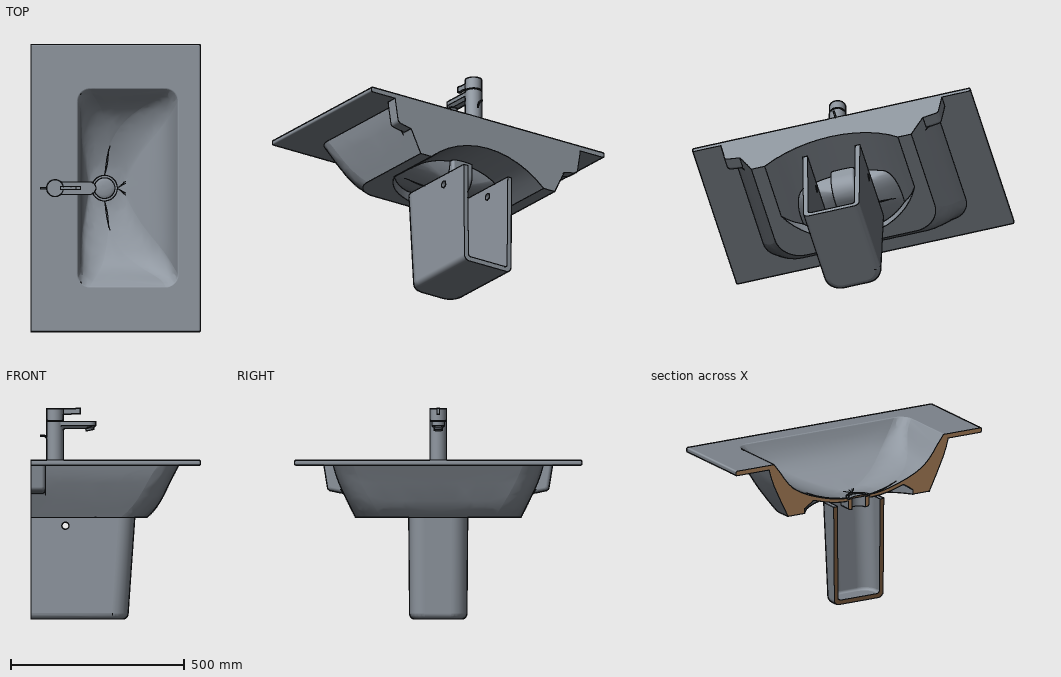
import cadquery as cq
import math


ARC_MIDDLE = 1 - math.sqrt(0.5)
SELECT_MARGIN = 1.0

DECK_DEPTH = 490.0
DECK_WIDTH = 830.0
DECK_THICKNESS = 15.0
DECK_CORNER_RADIUS = 5.0
DECK_EDGE_RADIUS = 5.0

BASE_Z = -165.0
BACK_PLATE_THICKNESS = 41.5
BACK_PLATE_ROUND = 12.5
BACK_PLATE_FRONT_ROUND = 10.0
WING_TOP_HALF = 330.5
WING_TIP_HALF = 319.0
WING_TIP_Z = -87.0
WING_ROOT_HALF = 274.0
WING_ROOT_Z = -96.0
WING_FOOT_HALF = 261.0
WING_FOOT_Z = -116.0
BASE_HALF = 239.0
BODY_LEVELS = [
    (-DECK_THICKNESS, 427.0, 303.0, 58.0),
    (-51.5, 407.0, 292.0, 62.0),
    (-98.0, 385.0, 272.0, 66.5),
    (BASE_Z, 335.5, BASE_HALF, 75.0),
]

DRAIN_X = 212.5
DRAIN_SEAT_DIAMETER = 74.0
DRAIN_HOLE_DIAMETER = 44.0
BOWL_FLOOR_Z = -141.0
SEAT_RADIUS = DRAIN_SEAT_DIAMETER / 2
FLOOR_CORNER_RADIUS = 0.98 * SEAT_RADIUS
BOWL_LEVELS = [
    (0.0, 135.0, 425.0, 286.5, 36.5),
    (-22.0, 143.0, 415.0, 269.0, 36.5),
    (-76.0, 146.0, 372.0, 227.0, 58.0),
    (-113.0, 153.0, 315.5, 163.5, 66.5),
    (-129.0, 160.0, 290.0, 116.0, 63.0),
    (BOWL_FLOOR_Z, DRAIN_X - SEAT_RADIUS, DRAIN_X + SEAT_RADIUS, SEAT_RADIUS, FLOOR_CORNER_RADIUS),
]
BOWL_RIM_RADIUS = 4.0
BOWL_WALL = 10.0

ARCH_HALF = 199.0
ARCH_TOP_Z = -90.0
HOLLOW_FRONT_X = 311.0
BOSS_WIDTH = 70.5
BOSS_BOTTOM_Z = -178.0
BOSS_BACK_X = 120.0
BOSS_FRONT_X = 253.0
BOSS_SWEEP = 52.0
BOSS_EDGE_RADIUS = 7.5

PLUG_DIAMETER = 60.0
PLUG_RIM = 2.5
PLUG_DOME = 4.0
PLUG_EDGE_SLOPE = 0.6
SEAT_DEPTH = 4.0

PEDESTAL_TOP_Z = -161.0
PEDESTAL_BOTTOM_Z = -459.0
PEDESTAL_WALL = 14.0
PEDESTAL_TOP_FRONT_X = 300.5
PEDESTAL_TOP_HALF = 85.5
PEDESTAL_BOTTOM_FRONT_X = 280.0
PEDESTAL_BOTTOM_HALF = 83.0
PEDESTAL_CORNER_RADIUS = 46.0
PEDESTAL_INNER_CORNER_RADIUS = 41.5
PEDESTAL_FOOT_RADIUS = 17.0
FIXING_HOLE_DIAMETER = 20.0
FIXING_HOLE_X = 100.0
FIXING_HOLE_Z = -189.0

TAP_X = 70.0
TAP_DIAMETER = 49.0
TAP_TOP_Z = 112.0
NECK_DIAMETER = 42.0
NECK_HEIGHT = 2.5
CAP_DIAMETER = 48.0
CAP_TOP_Z = 149.0
SPOUT_WIDTH = 36.5
SPOUT_TIP_X = 188.0
SPOUT_HEIGHT = 21.0
SPOUT_CHAMFER = 8.0
SPOUT_ROOT_RADIUS = 7.0
AERATOR_DIAMETER = 23.0
AERATOR_X = 171.0
AERATOR_BOTTOM_Z = 86.0
AERATOR_LENGTH = 10.0
AERATOR_TILT = 12.0
LEVER_WIDTH = 8.0
LEVER_TIP_X = 143.0
LEVER_BOTTOM_Z = 134.0
LEVER_TIP_Z = 150.0
LEVER_TIP_LENGTH = 13.0
LEVER_ROOT_Z = 132.0
LEVER_ROOT_X = 116.0
LEVER_INSET = 8.0
ROD_DIAMETER = 4.0
ROD_TIP_X = 27.0
ROD_BEND_X = 35.0
ROD_TIP_Z = 70.5
ROD_END_X = 48.0
ROD_END_Z = 56.0


def section_wire(z, back_x, front_x, half_width, radius):
    """Rounded rectangle at height z."""
    corners = [
        cq.Vector(back_x, -half_width, z),
        cq.Vector(front_x, -half_width, z),
        cq.Vector(front_x, half_width, z),
        cq.Vector(back_x, half_width, z),
    ]
    rectangle = cq.Wire.makePolygon(corners, close=True)
    return rectangle.fillet2D(radius, rectangle.Vertices())


def loft_sections(levels):
    """Smooth solid through (Z, back X, front X, half width, corner radius) levels."""
    return cq.Workplane(cq.Solid.makeLoft([section_wire(*level) for level in levels]))


def box_between(x_range, y_range, z_range):
    """Box given by its (low, high) limits along each axis."""
    size = [high - low for low, high in (x_range, y_range, z_range)]
    corner = (x_range[0], y_range[0], z_range[0])
    return cq.Workplane("XY", origin=corner).box(*size, centered=False)


def upright_cylinder(x, diameter, bottom_z, top_z):
    """Vertical cylinder on the symmetry plane."""
    return cq.Workplane("XY", origin=(x, 0, bottom_z)).circle(diameter / 2).extrude(top_z - bottom_z)


def make_deck():
    deck = box_between((0, DECK_DEPTH), (-DECK_WIDTH / 2, DECK_WIDTH / 2), (-DECK_THICKNESS, 0))
    deck = deck.edges("|Z and >X").fillet(DECK_CORNER_RADIUS)
    return deck.faces(">Z or <Z").edges("not <X").fillet(DECK_EDGE_RADIUS)


def make_back_plate():
    """Plate against the wall that stands out as a wing on each side."""
    right_side = [
        (WING_TOP_HALF, -DECK_THICKNESS),
        (WING_TIP_HALF, WING_TIP_Z),
        (WING_ROOT_HALF, WING_ROOT_Z),
        (WING_FOOT_HALF, WING_FOOT_Z),
    ]
    left_side = [(-y, z) for y, z in reversed(right_side)]
    plate = cq.Workplane("YZ").polyline(right_side + left_side).close().extrude(BACK_PLATE_THICKNESS)
    for side in (-1, 1):
        tip = (BACK_PLATE_THICKNESS / 2, side * WING_TIP_HALF, WING_TIP_Z)
        plate = plate.edges(cq.selectors.NearestToPointSelector(tip)).fillet(BACK_PLATE_ROUND)
    return plate.faces(">X").edges("<Y or >Y").fillet(BACK_PLATE_FRONT_ROUND)


def make_body():
    """Tapered outside of the bowl, from the deck down to the base, ending square at the wall."""
    body = loft_sections([(z, -r, front, half, r) for z, front, half, r in BODY_LEVELS])
    behind_wall = box_between((-DECK_DEPTH, 0), (-DECK_WIDTH, DECK_WIDTH), (2 * BASE_Z, 0))
    return body.cut(behind_wall)


def make_bowl_shell():
    """Bowl shape grown sideways and downwards by the wall."""
    return loft_sections([
        (z - BOWL_WALL, back - BOWL_WALL, front + BOWL_WALL, half + BOWL_WALL, r + BOWL_WALL)
        for z, back, front, half, r in BOWL_LEVELS
    ])


def make_hollow():
    """Arched opening at the wall, reaching forward below the bowl."""
    arch = (
        cq.Workplane("YZ")
        .moveTo(-ARCH_HALF, BASE_Z)
        .threePointArc((0, ARCH_TOP_Z), (ARCH_HALF, BASE_Z))
        .close()
        .extrude(HOLLOW_FRONT_X)
    )
    round_front = (
        cq.Workplane("XY", origin=(0, 0, BASE_Z))
        .moveTo(0, -ARCH_HALF)
        .threePointArc((HOLLOW_FRONT_X, 0), (0, ARCH_HALF))
        .close()
        .extrude(ARCH_TOP_Z - BASE_Z)
    )
    return arch.intersect(round_front)


def make_boss():
    """Drain housing that sweeps from the back of the bowl to below the base."""
    sweep_z = BOSS_BOTTOM_Z + BOSS_SWEEP
    diagonal = BOSS_SWEEP * ARC_MIDDLE
    boss = (
        cq.Workplane("XZ", origin=(0, BOSS_WIDTH / 2, 0))
        .moveTo(BOSS_BACK_X, ARCH_TOP_Z)
        .lineTo(BOSS_BACK_X, sweep_z)
        .threePointArc(
            (BOSS_BACK_X + diagonal, BOSS_BOTTOM_Z + diagonal),
            (BOSS_BACK_X + BOSS_SWEEP, BOSS_BOTTOM_Z),
        )
        .lineTo(BOSS_FRONT_X, BOSS_BOTTOM_Z)
        .lineTo(BOSS_FRONT_X, ARCH_TOP_Z)
        .close()
        .extrude(BOSS_WIDTH)
    )
    return boss.faces("<X").edges("|Z").fillet(BOSS_EDGE_RADIUS)


def make_basin():
    bowl = loft_sections(BOWL_LEVELS)
    basin = make_deck().union(make_back_plate()).union(make_body())
    basin = basin.cut(make_hollow().cut(make_bowl_shell()))
    basin = basin.union(make_boss()).cut(bowl)
    rim = cq.selectors.BoxSelector(
        (DECK_CORNER_RADIUS, -WING_TOP_HALF, -SELECT_MARGIN),
        (DECK_DEPTH - DECK_CORNER_RADIUS, WING_TOP_HALF, SELECT_MARGIN),
    )
    basin = basin.edges(rim).fillet(BOWL_RIM_RADIUS)
    seat_z = BOWL_FLOOR_Z - SEAT_DEPTH
    basin = basin.cut(upright_cylinder(DRAIN_X, DRAIN_SEAT_DIAMETER, seat_z, BOWL_FLOOR_Z))
    return basin.cut(upright_cylinder(DRAIN_X, DRAIN_HOLE_DIAMETER, BOSS_BOTTOM_Z, seat_z))


def make_drain_plug():
    seat_z = BOWL_FLOOR_Z - SEAT_DEPTH
    radius = PLUG_DIAMETER / 2
    return (
        cq.Workplane("XZ", origin=(DRAIN_X, 0, seat_z))
        .lineTo(radius, 0)
        .lineTo(radius, PLUG_RIM)
        .spline([(0, PLUG_RIM + PLUG_DOME)], tangents=[(-1, PLUG_EDGE_SLOPE), (-1, 0)], includeCurrent=True)
        .close()
        .revolve(360, (0, 0, 0), (0, 1, 0))
    )


def pedestal_form(inset, bottom_z, corner_radius, foot_radius):
    """Tapered U-shaped trough form, set in by `inset`; its back lies on the wall plane."""
    bend = corner_radius * ARC_MIDDLE

    def outline(plane, front_x, half_width):
        front = front_x - inset
        half = half_width - inset
        return (
            plane.moveTo(0, -half)
            .lineTo(front - corner_radius, -half)
            .threePointArc((front - bend, -half + bend), (front, -half + corner_radius))
            .lineTo(front, half - corner_radius)
            .threePointArc((front - bend, half - bend), (front - corner_radius, half))
            .lineTo(0, half)
            .close()
        )

    floor = cq.Workplane("XY", origin=(0, 0, bottom_z))
    base = outline(floor, PEDESTAL_BOTTOM_FRONT_X, PEDESTAL_BOTTOM_HALF)
    top = base.workplane(offset=PEDESTAL_TOP_Z - bottom_z)
    form = outline(top, PEDESTAL_TOP_FRONT_X, PEDESTAL_TOP_HALF).loft(ruled=True)
    return form.faces("<Z").edges("not <X").fillet(foot_radius)


def make_pedestal():
    outside = pedestal_form(0, PEDESTAL_BOTTOM_Z, PEDESTAL_CORNER_RADIUS, PEDESTAL_FOOT_RADIUS)
    inside = pedestal_form(
        PEDESTAL_WALL,
        PEDESTAL_BOTTOM_Z + PEDESTAL_WALL,
        PEDESTAL_INNER_CORNER_RADIUS,
        PEDESTAL_FOOT_RADIUS / 2,
    )
    fixing_hole = (
        cq.Workplane("XZ", origin=(FIXING_HOLE_X, 0, FIXING_HOLE_Z))
        .circle(FIXING_HOLE_DIAMETER / 2)
        .extrude(PEDESTAL_TOP_HALF * 2, both=True)
    )
    return outside.cut(inside).cut(fixing_hole)


def make_spout():
    """Flat arm with a round tip, bevelled along its underside."""
    tip_centre = SPOUT_TIP_X - SPOUT_WIDTH / 2
    spout = (
        cq.Workplane("XY", origin=(TAP_X, 0, TAP_TOP_Z - SPOUT_HEIGHT))
        .moveTo(0, -SPOUT_WIDTH / 2)
        .lineTo(tip_centre - TAP_X, -SPOUT_WIDTH / 2)
        .threePointArc((SPOUT_TIP_X - TAP_X, 0), (tip_centre - TAP_X, SPOUT_WIDTH / 2))
        .lineTo(0, SPOUT_WIDTH / 2)
        .close()
        .extrude(SPOUT_HEIGHT)
    )
    return spout.faces("<Z").edges("not <X").chamfer(SPOUT_CHAMFER)


def make_aerator():
    """Outlet nozzle under the spout tip, tilted forward."""
    tilt = math.radians(AERATOR_TILT)
    upward = cq.Vector(-math.sin(tilt), 0, math.cos(tilt))
    outlet = cq.Vector(AERATOR_X, 0, AERATOR_BOTTOM_Z)
    return cq.Workplane(cq.Solid.makeCylinder(AERATOR_DIAMETER / 2, AERATOR_LENGTH, outlet, upward))


def make_pull_rod():
    """Bent rod of the drain linkage, entering the back of the tap."""
    path = (
        cq.Workplane("XZ")
        .moveTo(ROD_TIP_X, ROD_TIP_Z)
        .lineTo(ROD_BEND_X, ROD_TIP_Z)
        .tangentArcPoint((ROD_END_X, ROD_END_Z), relative=False)
    )
    return cq.Workplane("YZ", origin=(ROD_TIP_X, 0, ROD_TIP_Z)).circle(ROD_DIAMETER / 2).sweep(path)


def make_tap_body(aerator, pull_rod):
    column = upright_cylinder(TAP_X, TAP_DIAMETER, 0, TAP_TOP_Z)
    neck = upright_cylinder(TAP_X, NECK_DIAMETER, TAP_TOP_Z, TAP_TOP_Z + NECK_HEIGHT)
    root = cq.selectors.BoxSelector(
        (TAP_X, -SPOUT_WIDTH, TAP_TOP_Z - SPOUT_HEIGHT - SELECT_MARGIN),
        (TAP_X + TAP_DIAMETER / 2 + SELECT_MARGIN, SPOUT_WIDTH, TAP_TOP_Z - SELECT_MARGIN),
    )
    column = column.union(make_spout()).edges(root).fillet(SPOUT_ROOT_RADIUS)
    return column.union(neck).cut(aerator).cut(pull_rod)


def make_lever():
    """Thin blade with a raised tip, let into the front of the cap."""
    root_x = TAP_X + CAP_DIAMETER / 2 - LEVER_INSET
    return (
        cq.Workplane("XZ", origin=(0, LEVER_WIDTH / 2, 0))
        .moveTo(root_x, CAP_TOP_Z)
        .lineTo(LEVER_TIP_X - LEVER_TIP_LENGTH, CAP_TOP_Z)
        .lineTo(LEVER_TIP_X - LEVER_TIP_LENGTH, LEVER_TIP_Z)
        .lineTo(LEVER_TIP_X, LEVER_TIP_Z)
        .lineTo(LEVER_TIP_X, LEVER_BOTTOM_Z)
        .lineTo(LEVER_ROOT_X, LEVER_BOTTOM_Z)
        .lineTo(LEVER_ROOT_X, LEVER_ROOT_Z)
        .lineTo(root_x, LEVER_ROOT_Z)
        .close()
        .extrude(LEVER_WIDTH)
    )


def make_cap(lever):
    return upright_cylinder(TAP_X, CAP_DIAMETER, TAP_TOP_Z + NECK_HEIGHT, CAP_TOP_Z).cut(lever)


basin = make_basin()
drain_plug = make_drain_plug()
pedestal = make_pedestal()
aerator = make_aerator()
pull_rod = make_pull_rod()
tap_body = make_tap_body(aerator, pull_rod)
lever = make_lever()
cap = make_cap(lever)

result = cq.Compound.makeCompound([
    basin.val(),
    drain_plug.val(),
    pedestal.val(),
    tap_body.val(),
    aerator.val(),
    pull_rod.val(),
    cap.val(),
    lever.val(),
])